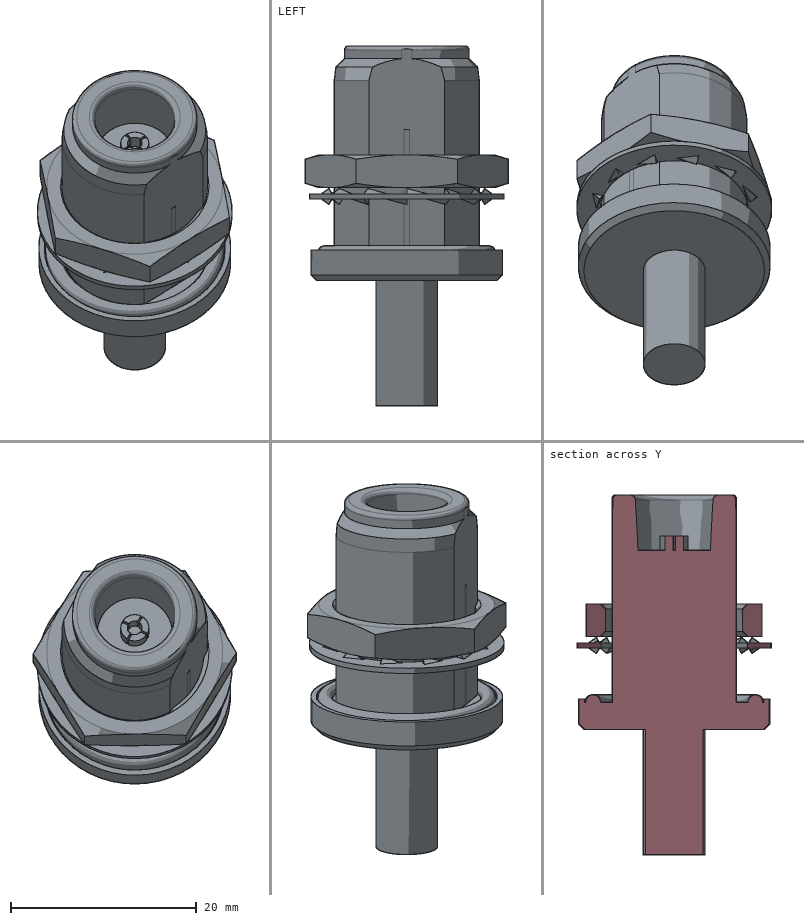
import cadquery as cq
import math

TOTAL_HEIGHT = 38.8
TAIL_RADIUS = 3.35

FLANGE_DIAMETER = 20.68
FLANGE_RADIUS = FLANGE_DIAMETER / 2
FLANGE_BOTTOM = 13.5
FLANGE_TOP = 16.8
FLANGE_CHAMFER = 0.62

SEAL_RECESS_RADIUS = 9.75
SEAL_RECESS_FLOOR = 16.45
SEAL_MEAN_RADIUS = 8.8
SEAL_SECTION_RADIUS = 0.8

BARREL_RADIUS = 7.85
LOWER_CONE_BOTTOM = 35.08
UPPER_CONE_BOTTOM = 36.5
UPPER_CONE_BOTTOM_RADIUS = 7.65
RIM_BOTTOM = 37.4
WIDTH_ACROSS_FLATS = 13.4
FLAT_OFFSET = WIDTH_ACROSS_FLATS / 2
RIM_FLAT_WIDTH = 1.13
RIM_RADIUS = math.hypot(FLAT_OFFSET, RIM_FLAT_WIDTH / 2)
RIM_OUTER_FILLET = 0.45

CORE_STRIP_WIDTH = 0.6
CORE_RADIUS = math.hypot(FLAT_OFFSET, CORE_STRIP_WIDTH / 2)
CORE_TOP = 29.8

BORE_MOUTH_RADIUS = 4.3
BORE_FLOOR_RADIUS = 4.05
BORE_FLOOR = 32.82
RIM_INNER_FILLET = 0.6
CONTACT_RADIUS = 1.5
CONTACT_HEIGHT = 1.55
SOCKET_RADIUS = 0.78
CONTACT_SLIT_WIDTH = 0.2

NUT_ACROSS_FLATS = 18.97
NUT_BOTTOM = 23.5
NUT_HEIGHT = 3.55
NUT_CORNER_DROP = 0.45
NUT_BORE_RADIUS = 7.45
NUT_BORE_CHAMFER = 0.55

WASHER_DIAMETER = 21.0
WASHER_HOLE_RADIUS = 7.95
WASHER_BOTTOM = 22.27
WASHER_THICKNESS = 0.6
TOOTH_COUNT = 12
TOOTH_INNER_RADIUS = 8.05
TOOTH_PEAK_RADIUS = 8.4
TOOTH_OUTER_RADIUS = 9.2
TOOTH_HEIGHT = 0.6
TOOTH_SWEEP = 15.0


def cylinder(radius, bottom, top):
    return cq.Workplane("XY").workplane(offset=bottom).circle(radius).extrude(top - bottom)


def revolve_about_z(profile):
    """Turn a profile drawn as (radius, height) on the XZ plane into a solid."""
    return profile.close().revolve(360, (0, 0, 0), (0, 1, 0))


def make_flange():
    profile = (
        cq.Workplane("XZ")
        .moveTo(0, FLANGE_BOTTOM)
        .lineTo(FLANGE_RADIUS - FLANGE_CHAMFER, FLANGE_BOTTOM)
        .lineTo(FLANGE_RADIUS, FLANGE_BOTTOM + FLANGE_CHAMFER)
        .lineTo(FLANGE_RADIUS, FLANGE_TOP)
        .lineTo(SEAL_RECESS_RADIUS, FLANGE_TOP)
        .lineTo(SEAL_RECESS_RADIUS, SEAL_RECESS_FLOOR)
        .lineTo(0, SEAL_RECESS_FLOOR)
    )
    return revolve_about_z(profile)


def make_seal():
    section = (
        cq.Workplane("XZ")
        .center(SEAL_MEAN_RADIUS, SEAL_RECESS_FLOOR)
        .circle(SEAL_SECTION_RADIUS)
    )
    return section.revolve(360, (-SEAL_MEAN_RADIUS, 0, 0), (-SEAL_MEAN_RADIUS, 1, 0))


def make_barrel():
    """Barrel with its coned mouth and tapered bore, trimmed to the two flats."""
    diagonal = math.sqrt(0.5)
    outer_centre = (RIM_RADIUS - RIM_OUTER_FILLET, TOTAL_HEIGHT - RIM_OUTER_FILLET)
    inner_centre = (BORE_MOUTH_RADIUS + RIM_INNER_FILLET, TOTAL_HEIGHT - RIM_INNER_FILLET)
    profile = (
        cq.Workplane("XZ")
        .moveTo(0, SEAL_RECESS_FLOOR)
        .lineTo(BARREL_RADIUS, SEAL_RECESS_FLOOR)
        .lineTo(BARREL_RADIUS, LOWER_CONE_BOTTOM)
        .lineTo(UPPER_CONE_BOTTOM_RADIUS, UPPER_CONE_BOTTOM)
        .lineTo(RIM_RADIUS, RIM_BOTTOM)
        .lineTo(RIM_RADIUS, outer_centre[1])
        .threePointArc(
            (outer_centre[0] + diagonal * RIM_OUTER_FILLET, outer_centre[1] + diagonal * RIM_OUTER_FILLET),
            (outer_centre[0], TOTAL_HEIGHT),
        )
        .lineTo(inner_centre[0], TOTAL_HEIGHT)
        .threePointArc(
            (inner_centre[0] - diagonal * RIM_INNER_FILLET, inner_centre[1] + diagonal * RIM_INNER_FILLET),
            (BORE_MOUTH_RADIUS, inner_centre[1]),
        )
        .lineTo(BORE_FLOOR_RADIUS, BORE_FLOOR)
        .lineTo(0, BORE_FLOOR)
    )
    between_flats = (
        cq.Workplane("XY")
        .rect(WIDTH_ACROSS_FLATS, 2 * BARREL_RADIUS)
        .extrude(TOTAL_HEIGHT)
    )
    return revolve_about_z(profile).intersect(between_flats)


def make_contact():
    """Short socket on the bore floor, split into four by crossed slits."""
    top = BORE_FLOOR + CONTACT_HEIGHT
    contact = cylinder(CONTACT_RADIUS, BORE_FLOOR, top).cut(cylinder(SOCKET_RADIUS, BORE_FLOOR, top))
    slit = (
        cq.Workplane("XY")
        .workplane(offset=BORE_FLOOR)
        .rect(2 * CONTACT_RADIUS, CONTACT_SLIT_WIDTH)
        .extrude(CONTACT_HEIGHT)
    )
    return contact.cut(slit).cut(slit.rotate((0, 0, 0), (0, 0, 1), 90))


def make_housing():
    return (
        make_barrel()
        .union(cylinder(CORE_RADIUS, SEAL_RECESS_FLOOR, CORE_TOP))
        .union(make_flange())
        .union(make_seal())
        .union(cylinder(TAIL_RADIUS, 0, FLANGE_BOTTOM))
        .union(make_contact())
    )


def make_nut(housing):
    """Hexagon nut with coned faces, whose bore is shaped to the barrel that fills it."""
    corner_radius = NUT_ACROSS_FLATS / math.sqrt(3)
    hexagon = (
        cq.Workplane("XY")
        .workplane(offset=NUT_BOTTOM)
        .polygon(6, 2 * corner_radius)
        .extrude(NUT_HEIGHT)
        .rotate((0, 0, 0), (0, 0, 1), 90)
    )
    nut_top = NUT_BOTTOM + NUT_HEIGHT
    face_radius = NUT_ACROSS_FLATS / 2
    mouth_radius = NUT_BORE_RADIUS + NUT_BORE_CHAMFER
    section = (
        cq.Workplane("XZ")
        .moveTo(mouth_radius, NUT_BOTTOM)
        .lineTo(face_radius, NUT_BOTTOM)
        .lineTo(corner_radius, NUT_BOTTOM + NUT_CORNER_DROP)
        .lineTo(corner_radius, nut_top - NUT_CORNER_DROP)
        .lineTo(face_radius, nut_top)
        .lineTo(mouth_radius, nut_top)
        .lineTo(NUT_BORE_RADIUS, nut_top - NUT_BORE_CHAMFER)
        .lineTo(NUT_BORE_RADIUS, NUT_BOTTOM + NUT_BORE_CHAMFER)
    )
    return hexagon.intersect(revolve_about_z(section)).cut(housing)


def make_tooth():
    """Tooth on the upper washer face: a steep radial side at +X that slopes down along the ring."""
    base = WASHER_BOTTOM + WASHER_THICKNESS
    sweep = math.radians(TOOTH_SWEEP)
    inner = cq.Vector(TOOTH_INNER_RADIUS, 0, base)
    outer = cq.Vector(TOOTH_OUTER_RADIUS, 0, base)
    peak = cq.Vector(TOOTH_PEAK_RADIUS, 0, base + TOOTH_HEIGHT)
    heel = cq.Vector(TOOTH_PEAK_RADIUS * math.cos(sweep), TOOTH_PEAK_RADIUS * math.sin(sweep), base)
    corners = [(inner, outer, peak), (inner, outer, heel), (outer, peak, heel), (peak, inner, heel)]
    faces = [cq.Face.makeFromWires(cq.Wire.makePolygon(points, close=True)) for points in corners]
    return cq.Solid.makeSolid(cq.Shell.makeShell(faces))


def make_washer():
    """Flat ring with matching teeth on both faces, turned the opposite way below."""
    top = WASHER_BOTTOM + WASHER_THICKNESS
    ring = cylinder(WASHER_DIAMETER / 2, WASHER_BOTTOM, top)
    washer = ring.cut(cylinder(WASHER_HOLE_RADIUS, WASHER_BOTTOM, top))
    upper_tooth = make_tooth()
    mid_height = WASHER_BOTTOM + WASHER_THICKNESS / 2
    lower_tooth = upper_tooth.rotate(cq.Vector(0, 0, mid_height), cq.Vector(0.4, 0, mid_height), 180)
    for index in range(TOOTH_COUNT):
        angle = index * 360 / TOOTH_COUNT
        for tooth in (upper_tooth, lower_tooth):
            washer = washer.union(cq.Workplane(tooth.rotate(cq.Vector(0, 0, 0), cq.Vector(0, 0, 1), angle)))
    return washer


housing = make_housing()
nut = make_nut(housing)
washer = make_washer()

result = cq.Compound.makeCompound([body.solids().val() for body in (housing, nut, washer)])